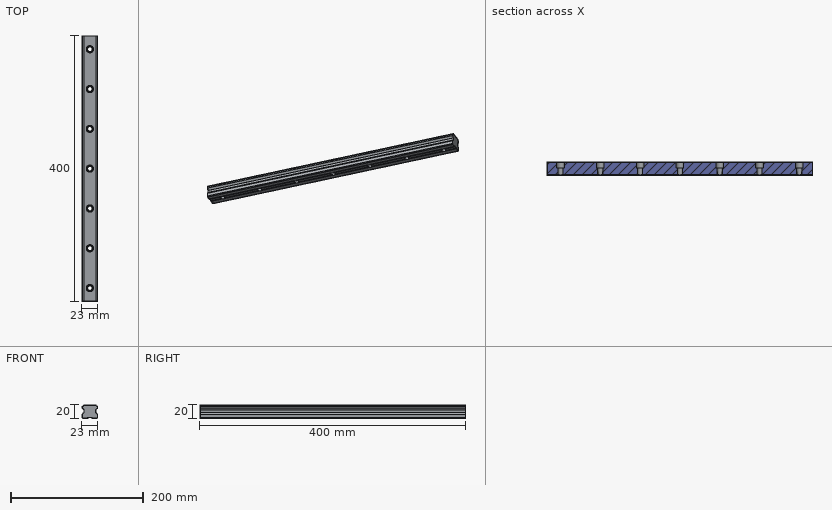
import cadquery as cq

length = 400.0
width = 23.0
height = 20.0

head_shoulder = 17.5
head_underside = 15.0
waist_top = 12.5
waist_bottom = 9.0
foot_shoulder = 6.0
foot_chamfer = 1.0

top_width = 18.0
waist_width = 18.0

groove_sag = 0.5

relief_width = 6.0
relief_depth = 1.0

hole_count = 7
hole_pitch = 60.0
hole_diameter = 7.0
bore_diameter = 11.0
bore_depth = 9.0


def concave_arc(sketch, end_x, end_z):
    """Continue with a shallow ball groove hollowed towards the rail's centre plane."""
    return sketch.sagittaArc((end_x, end_z), groove_sag)


def rail_body():
    """Extrude the mirrored half section along Y, centred on the origin."""
    half = (
        cq.Workplane("XZ")
        .moveTo(0, relief_depth)
        .lineTo(relief_width / 2, relief_depth)
        .lineTo(relief_width / 2, 0)
        .lineTo(width / 2 - foot_chamfer, 0)
        .lineTo(width / 2, foot_chamfer)
        .lineTo(width / 2, foot_shoulder)
        .lineTo(waist_width / 2, waist_bottom)
        .lineTo(waist_width / 2, waist_top)
    )
    half = concave_arc(half, width / 2, head_underside)
    half = half.lineTo(width / 2, head_shoulder)
    half = concave_arc(half, top_width / 2, height)
    section = half.lineTo(0, height).mirrorY()
    return section.extrude(length / 2, both=True)


def drill_mounting_holes(body):
    """Cut a centred row of counterbored through holes from the top face."""
    return (
        body.faces(">Z").workplane(origin=(0, 0, height))
        .rarray(4, hole_pitch, 1, hole_count)
        .cboreHole(hole_diameter, bore_diameter, bore_depth)
    )


result = drill_mounting_holes(rail_body())